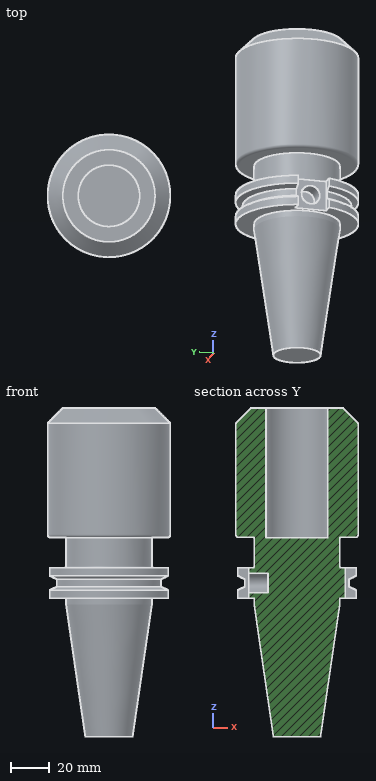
import cadquery as cq

gauge_diameter = 44.45
taper_length = 68.25
taper_ratio = 7 / 24
projection = 101.6

flange_diameter = 63.5
flange_bottom = 3.18
flange_top = 19.05
groove_middle = 11.18
groove_diameter = 56.36
groove_floor_width = 3.7
groove_mouth_width = 7.3

neck_diameter = gauge_diameter
neck_length = 15.5
neck_fillet = 0.8

body_diameter = 63.5
nose_chamfer = 7.94
body_rear_fillet = 1.6

bore_diameter = 31.75

slot_width = 16.5
slot_floor_offset = 25.0
slot_hole_diameter = 9.8
slot_hole_depth = 10.0

gauge_radius = gauge_diameter / 2
small_end_radius = (gauge_diameter - taper_length * taper_ratio) / 2
flange_radius = flange_diameter / 2
flange_height = flange_top - flange_bottom
flange_middle = (flange_bottom + flange_top) / 2
groove_radius = groove_diameter / 2
groove_floor_half = groove_floor_width / 2
groove_mouth_half = groove_mouth_width / 2
neck_radius = neck_diameter / 2
body_radius = body_diameter / 2
body_bottom = flange_top + neck_length
bore_depth = projection - body_bottom


def make_shank():
    """Taper, flange, neck and body, revolved about Z from one half profile."""
    profile = (
        cq.Workplane("XZ")
        .moveTo(0, -taper_length)
        .lineTo(small_end_radius, -taper_length)
        .lineTo(gauge_radius, 0)
        .lineTo(gauge_radius, flange_bottom)
        .lineTo(flange_radius, flange_bottom)
        .lineTo(flange_radius, groove_middle - groove_mouth_half)
        .lineTo(groove_radius, groove_middle - groove_floor_half)
        .lineTo(groove_radius, groove_middle + groove_floor_half)
        .lineTo(flange_radius, groove_middle + groove_mouth_half)
        .lineTo(flange_radius, flange_top)
        .lineTo(neck_radius + neck_fillet, flange_top)
        .radiusArc((neck_radius, flange_top + neck_fillet), neck_fillet)
        .lineTo(neck_radius, body_bottom)
        .lineTo(body_radius - body_rear_fillet, body_bottom)
        .radiusArc((body_radius, body_bottom + body_rear_fillet), -body_rear_fillet)
        .lineTo(body_radius, projection - nose_chamfer)
        .lineTo(body_radius - nose_chamfer, projection)
        .lineTo(0, projection)
        .close()
    )
    return profile.revolve(360, (0, 0, 0), (0, 1, 0))


def make_bore():
    """Blind flat-bottomed tool bore in the nose."""
    return (
        cq.Workplane("XY")
        .workplane(offset=projection - bore_depth)
        .circle(bore_diameter / 2)
        .extrude(bore_depth)
    )


def make_drive_slot(side):
    """Drive slot through the flange on the +X (1) or -X (-1) side."""
    slot_depth = flange_radius - slot_floor_offset
    slot_middle = side * (slot_floor_offset + slot_depth / 2)
    return cq.Workplane("XY").box(slot_depth, slot_width, flange_height).translate(
        (slot_middle, 0, flange_middle)
    )


def make_slot_hole():
    """Blind hole in the floor of the -X drive slot."""
    return (
        cq.Workplane("YZ")
        .workplane(offset=-slot_floor_offset)
        .center(0, flange_middle)
        .circle(slot_hole_diameter / 2)
        .extrude(slot_hole_depth)
    )


result = make_shank().cut(make_bore())
for slot_side in (-1, 1):
    result = result.cut(make_drive_slot(slot_side))
result = result.cut(make_slot_hole())